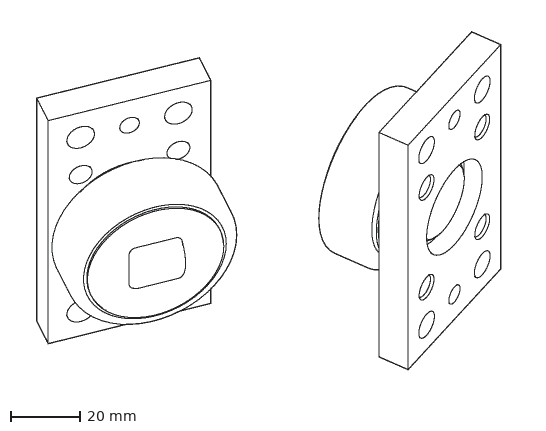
import cadquery as cq
import math

PLATE_HEIGHT = 90.0
PLATE_WIDTH = 50.0
PLATE_THICKNESS = 10.0
HOLE_COLUMN_Y = 15.0
OUTER_ROW_Z = 35.0
INNER_ROW_Z = 20.0
LARGE_HOLE_DIAMETER = 8.5
SMALL_HOLE_DIAMETER = 6.0
THREAD_HOLE_DIAMETER = 7.0
COUNTERSINK_DIAMETER = 8.0
COUNTERSINK_DEPTH = 0.9

RECESS_RADIUS = 15.0
RECESS_DEPTH = 6.2
PIN_RADIUS = 12.5
PIN_CHAMFER = 0.8
PIN_PROTRUSION = 2.2

NECK_RADIUS = 20.0
FLANGE_RADIUS = 21.0
ROLLER_RADIUS = 52.5 / 2
FLANGE_X = 13.5
ROLLER_BACK_X = 15.0
ROLLER_FRONT_X = 31.9
CAP_X = 32.5
BACK_FILLET = 1.9
SHOULDER_START_X = 28.5
SHOULDER_END_X = 30.9
SHOULDER_END_RADIUS = 24.7
FRONT_FACE_RADIUS = 22.0

SIDE_ROLLER_RADIUS = 9.5
SIDE_ROLLER_LENGTH = 16.4
SIDE_ROLLER_FILLET = 2.0
OVERALL_DEPTH = 37.0


def on_plate(points):
    """Workplane on the outer face, looking into the plate, with the given (y, z) points."""
    return cq.Workplane("YZ").pushPoints(points)


def mirrored_points(y, z):
    return [(side_y * y, side_z * z) for side_y in (-1, 1) for side_z in (-1, 1)]


def make_plate():
    plate = cq.Workplane("YZ").rect(PLATE_WIDTH, PLATE_HEIGHT).extrude(PLATE_THICKNESS)

    corners = mirrored_points(HOLE_COLUMN_Y, OUTER_ROW_Z)
    middles = [(0, -OUTER_ROW_Z), (0, OUTER_ROW_Z)]
    plate = plate.cut(on_plate(corners).circle(LARGE_HOLE_DIAMETER / 2).extrude(PLATE_THICKNESS))
    plate = plate.cut(on_plate(middles).circle(SMALL_HOLE_DIAMETER / 2).extrude(PLATE_THICKNESS))

    inner = mirrored_points(HOLE_COLUMN_Y, INNER_ROW_Z)
    plate = plate.cut(on_plate(inner).circle(THREAD_HOLE_DIAMETER / 2).extrude(PLATE_THICKNESS))
    sink_step = (COUNTERSINK_DIAMETER - THREAD_HOLE_DIAMETER) / 2
    sink_taper = math.degrees(math.atan2(sink_step, COUNTERSINK_DEPTH))
    sinks = on_plate(inner).circle(COUNTERSINK_DIAMETER / 2).extrude(COUNTERSINK_DEPTH, taper=sink_taper)
    plate = plate.cut(sinks)

    plate = plate.cut(cq.Workplane("YZ").circle(RECESS_RADIUS).extrude(RECESS_DEPTH))
    return plate.cut(cq.Workplane("YZ").circle(PIN_RADIUS).extrude(PLATE_THICKNESS))


def make_turned_body():
    pin_x = RECESS_DEPTH - PIN_PROTRUSION
    return (
        cq.Workplane("XY")
        .moveTo(pin_x, 0)
        .lineTo(pin_x, PIN_RADIUS - PIN_CHAMFER)
        .lineTo(pin_x + PIN_CHAMFER, PIN_RADIUS)
        .lineTo(PLATE_THICKNESS, PIN_RADIUS)
        .lineTo(PLATE_THICKNESS, NECK_RADIUS)
        .lineTo(FLANGE_X, NECK_RADIUS)
        .lineTo(FLANGE_X, FLANGE_RADIUS)
        .lineTo(ROLLER_BACK_X, FLANGE_RADIUS)
        .lineTo(ROLLER_BACK_X, ROLLER_RADIUS - BACK_FILLET)
        .radiusArc((ROLLER_BACK_X + BACK_FILLET, ROLLER_RADIUS), BACK_FILLET)
        .lineTo(SHOULDER_START_X, ROLLER_RADIUS)
        .tangentArcPoint((SHOULDER_END_X, SHOULDER_END_RADIUS), relative=False)
        .lineTo(ROLLER_FRONT_X, FRONT_FACE_RADIUS)
        .lineTo(ROLLER_FRONT_X, FLANGE_RADIUS)
        .lineTo(CAP_X, FLANGE_RADIUS)
        .lineTo(CAP_X, 0)
        .close()
        .revolve(360, (0, 0, 0), (1, 0, 0))
    )


def make_side_roller():
    """Filleted cylinder lying along Y, its crown at the overall depth."""
    return (
        cq.Workplane("XZ")
        .center(OVERALL_DEPTH - SIDE_ROLLER_RADIUS, 0)
        .circle(SIDE_ROLLER_RADIUS)
        .extrude(SIDE_ROLLER_LENGTH / 2, both=True)
        .edges("%CIRCLE")
        .fillet(SIDE_ROLLER_FILLET)
    )


def make_roller_unit():
    return make_turned_body().union(make_side_roller())


plate = make_plate()
roller_unit = make_roller_unit()
result = cq.Compound.makeCompound([plate.solids().val(), roller_unit.solids().val()])